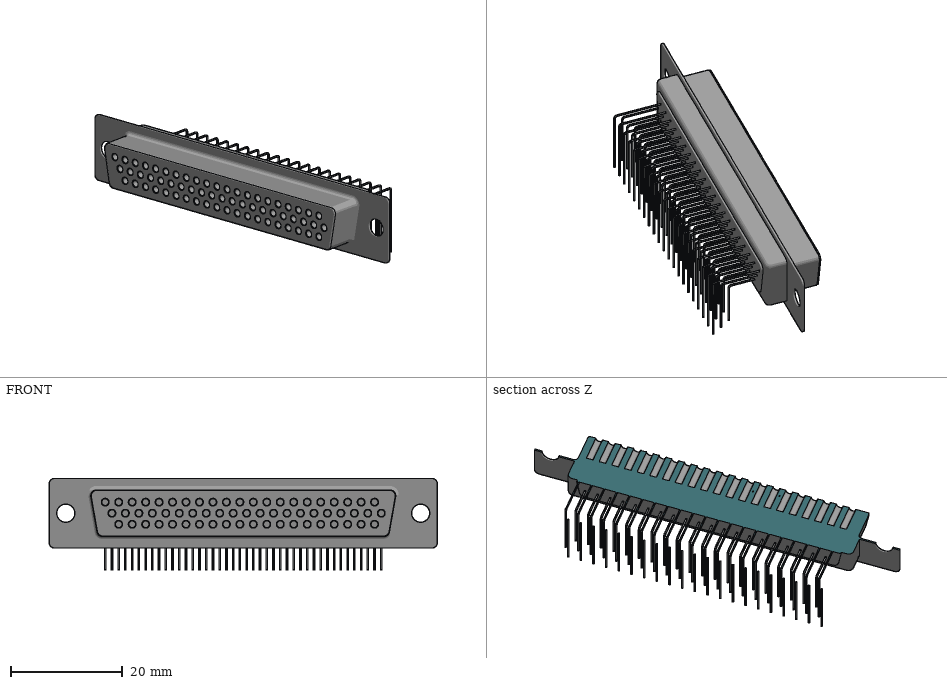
import cadquery as cq
import math


edge_fillet = 0.1

flange_width = 69.5
flange_height = 12.5
flange_thickness = 0.4
flange_front = 6.1
flange_back = flange_front + flange_thickness
flange_corner_radius = 1.0
mount_hole_spacing = 63.5
mount_hole_diameter = 3.2

side_slant = math.radians(10)
shell_width = 54.6
shell_height = 8.36
shell_corner_radius = 1.05
shell_base_fillet = 0.65

insulator_lip = 0.3

housing_width = 54.3
housing_height = 10.3
housing_back = 10.5
housing_corner_radius = 1.02
housing_back_fillet = 1.0

plate_width = 51.2
plate_height = 7.4
plate_thickness = 0.35
plate_back = housing_back + plate_thickness
plate_corner_radius = 1.0

contact_pitch = 2.41
row_pitch = 1.98
full_row_count = 21
contact_rows = [(full_row_count, 0), (full_row_count, 1), (full_row_count - 1, 2)]
first_contact_x = -(full_row_count - 0.5) * contact_pitch / 2
socket_diameter = 1.2
socket_depth = 5.0
socket_mouth_chamfer = 0.1

tail_diameter = 0.3
tail_bend_radius = 0.5
overall_length = 19.91
overall_height = 16.4
top_row_tail_y = overall_length - tail_diameter / 2
tail_bottom = flange_height / 2 - overall_height
tail_embedding = 1.0
tail_start = housing_back - tail_embedding


def xz_plane(y):
    """Sketch plane at depth y with local axes X and Z; negative extrusions run toward +Y."""
    return cq.Workplane("XZ", origin=(0, y, 0))


def rectangular_block(width, height, corner_radius, y_front, y_back):
    block = xz_plane(y_front).rect(width, height).extrude(y_front - y_back)
    return block.edges("|Y").fillet(corner_radius)


def d_block(width, height, corner_radius, y_front, y_back):
    """D-shaped prism, wide at the top; width is measured across the rounded top corners."""
    corner_overhang = corner_radius * ((1 + math.sin(side_slant)) / math.cos(side_slant) - 1)
    half_top = width / 2 + corner_overhang
    half_bottom = half_top - height * math.tan(side_slant)
    outline = [
        (-half_top, height / 2),
        (half_top, height / 2),
        (half_bottom, -height / 2),
        (-half_bottom, -height / 2),
    ]
    block = xz_plane(y_front).polyline(outline).close().extrude(y_front - y_back)
    return block.edges("|Y").fillet(corner_radius)


def row_height(row):
    """Z of one row; the middle row lies at Z = 0."""
    return (1 - row) * row_pitch


def row_positions(row):
    """X positions of all contacts of one row."""
    count, half_pitch_shift = contact_rows[row]
    start = first_contact_x + half_pitch_shift * contact_pitch / 2
    return [start + i * contact_pitch for i in range(count)]


def make_flange():
    flange = rectangular_block(
        flange_width, flange_height, flange_corner_radius, flange_front, flange_back
    )
    mount_holes = (
        xz_plane(flange_front)
        .pushPoints([(-mount_hole_spacing / 2, 0), (mount_hole_spacing / 2, 0)])
        .circle(mount_hole_diameter / 2)
        .extrude(-flange_thickness)
    )
    return flange.cut(mount_holes).faces("<Y or >Y").edges().fillet(edge_fillet)


def make_body():
    """Flange, mating shell with root fillet and insulator face, housing and back plate."""
    shell = d_block(shell_width, shell_height, shell_corner_radius, insulator_lip, flange_front)
    shell = shell.faces("<Y").edges().fillet(edge_fillet)
    shell = shell.faces("<Y").wires().toPending().workplane().extrude(insulator_lip)
    shell = shell.faces("<Y").edges().fillet(edge_fillet)
    body = make_flange().union(shell)
    x, y, z = shell_width / 2, edge_fillet / 2, shell_height / 2
    root_edges = cq.selectors.BoxSelector((-x, flange_front - y, -z), (x, flange_front + y, z))
    body = body.edges(root_edges).fillet(shell_base_fillet)

    housing = rectangular_block(
        housing_width, housing_height, housing_corner_radius, flange_back, housing_back
    )
    housing = housing.faces(">Y").edges().fillet(housing_back_fillet)
    plate = d_block(plate_width, plate_height, plate_corner_radius, housing_back, plate_back)
    plate = plate.faces(">Y").edges().fillet(edge_fillet)
    return body.union(housing).union(plate)


def make_sockets():
    """Cutters with a conical mouth for the blind contact holes in the mating face."""
    centres = [(x, row_height(row)) for row in range(len(contact_rows)) for x in row_positions(row)]
    radius = socket_diameter / 2
    mouth_radius = radius + socket_mouth_chamfer
    profile = [
        (0, 0),
        (mouth_radius, 0),
        (radius, socket_mouth_chamfer),
        (radius, socket_depth),
        (0, socket_depth),
    ]
    cutter = cq.Workplane("XY").polyline(profile).close().revolve(360, (0, 0, 0), (0, 1, 0)).val()
    return cq.Compound.makeCompound([cutter.translate(cq.Vector(x, 0, z)) for x, z in centres])


def make_tail(row):
    """One tail at X = 0: runs back from the housing, then bends straight down."""
    z = row_height(row)
    tail_y = top_row_tail_y - row * row_pitch
    bend_offset = tail_bend_radius * (1 - math.sqrt(0.5))
    path = (
        cq.Workplane("YZ")
        .moveTo(tail_start, z)
        .lineTo(tail_y - tail_bend_radius, z)
        .threePointArc((tail_y - bend_offset, z - bend_offset), (tail_y, z - tail_bend_radius))
        .lineTo(tail_y, tail_bottom)
    )
    return xz_plane(tail_start).center(0, z).circle(tail_diameter / 2).sweep(path)


def make_tails():
    tails = []
    for row in range(len(contact_rows)):
        tail = make_tail(row).val()
        tails += [tail.translate(cq.Vector(x, 0, 0)) for x in row_positions(row)]
    return cq.Compound.makeCompound(tails)


result = make_body().cut(cq.Workplane(make_sockets())).union(cq.Workplane(make_tails()))